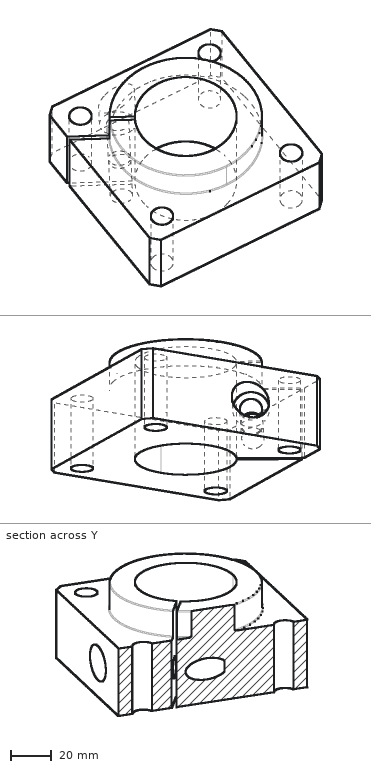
import cadquery as cq
import math

side = 100.0
base_height = 36.0
corner_chamfer = 4.0

total_height = 50.0
boss_radius = 37.5
bore_diameter = 50.0
boss_edge = 0.5

mount_diameter = 11.0
mount_spacing = 75.0

slot_width = 2.0
slot_angle = 240.0

screw_offset = 32.5
screw_diameter = 11.0
head_diameter = 18.0
seat_distance = 23.0
screw_reach = seat_distance


def make_base():
    block = cq.Workplane("XY").box(side, side, base_height, centered=(True, True, False))
    return block.edges("|Z").chamfer(corner_chamfer)


def make_boss():
    """Revolved boss with a rounded rim and a filleted foot."""
    foot_radius = boss_radius + boss_edge
    arc_sweep = boss_edge * math.sqrt(0.5)
    fillet_middle = (foot_radius - arc_sweep, base_height + boss_edge - arc_sweep)
    rim_middle = (
        boss_radius - boss_edge + arc_sweep,
        total_height - boss_edge + arc_sweep,
    )
    profile = (
        cq.Workplane("XZ")
        .moveTo(0, 0)
        .lineTo(foot_radius, 0)
        .lineTo(foot_radius, base_height)
        .threePointArc(fillet_middle, (boss_radius, base_height + boss_edge))
        .lineTo(boss_radius, total_height - boss_edge)
        .threePointArc(rim_middle, (boss_radius - boss_edge, total_height))
        .lineTo(0, total_height)
        .close()
    )
    return profile.revolve(360, (0, 0, 0), (0, 1, 0))


def make_bore():
    return cq.Workplane("XY").circle(bore_diameter / 2).extrude(total_height)


def make_mount_holes():
    return (
        cq.Workplane("XY")
        .rect(mount_spacing, mount_spacing, forConstruction=True)
        .vertices()
        .circle(mount_diameter / 2)
        .extrude(base_height)
    )


def make_slot():
    slot = cq.Workplane("XY").box(side, slot_width, total_height, centered=(False, True, False))
    return slot.rotate((0, 0, 0), (0, 0, 1), slot_angle)


def make_clamp_screw_hole():
    """Blind screw hole across the slot, with a head counterbore from the left face."""
    angle = math.radians(slot_angle)
    across = cq.Vector(-math.sin(angle), math.cos(angle), 0)
    crossing = cq.Vector(
        screw_offset * math.cos(angle),
        screw_offset * math.sin(angle),
        base_height / 2,
    )
    seat = crossing - across * seat_distance
    shank = cq.Solid.makeCylinder(screw_diameter / 2, seat_distance + screw_reach, seat, across)
    head = cq.Solid.makeCylinder(head_diameter / 2, side, seat, across * -1)
    return cq.Workplane(obj=shank.fuse(head))


result = (
    make_base()
    .union(make_boss())
    .cut(make_bore())
    .cut(make_mount_holes())
    .cut(make_slot())
    .cut(make_clamp_screw_hole())
)